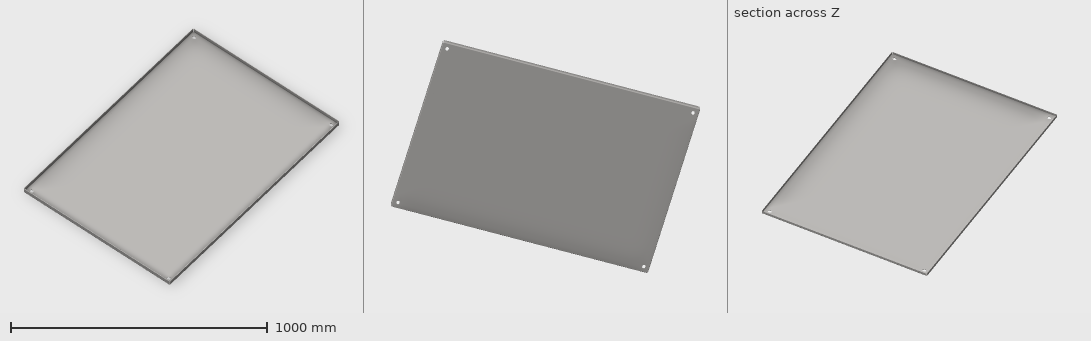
import cadquery as cq

WIDTH = 738.0
LENGTH = 1043.0
HEIGHT = 21.0
SHEET = 2.0

INNER_BEND = 0.5
OUTER_BEND = INNER_BEND + SHEET

RELIEF = 3.0

SLOT_LENGTH = 16.0
SLOT_WIDTH = 13.0
SLOT_SPACING_X = 690.0
SLOT_SPACING_Y = 997.0


def tray_shell():
    """Folded sheet: a hollowed block with rounded lower edges inside and out."""
    outer = cq.Workplane("XY").box(WIDTH, LENGTH, HEIGHT, centered=(True, True, False))
    outer = outer.faces("<Z").edges().fillet(OUTER_BEND)
    cavity = (
        cq.Workplane("XY")
        .workplane(offset=SHEET)
        .box(WIDTH - 2 * SHEET, LENGTH - 2 * SHEET, HEIGHT, centered=(True, True, False))
    )
    cavity = cavity.faces("<Z").edges().fillet(INNER_BEND)
    return outer.cut(cavity)


def corner_reliefs():
    """Square notches that separate the flanges at the four corners."""
    return (
        cq.Workplane("XY")
        .rect(WIDTH - RELIEF, LENGTH - RELIEF, forConstruction=True)
        .vertices()
        .rect(RELIEF, RELIEF)
        .extrude(HEIGHT)
    )


def mounting_slots():
    """One slot through the floor near each corner."""
    return (
        cq.Workplane("XY")
        .rect(SLOT_SPACING_X, SLOT_SPACING_Y, forConstruction=True)
        .vertices()
        .slot2D(SLOT_LENGTH, SLOT_WIDTH)
        .extrude(HEIGHT)
    )


result = tray_shell().cut(corner_reliefs()).cut(mounting_slots())